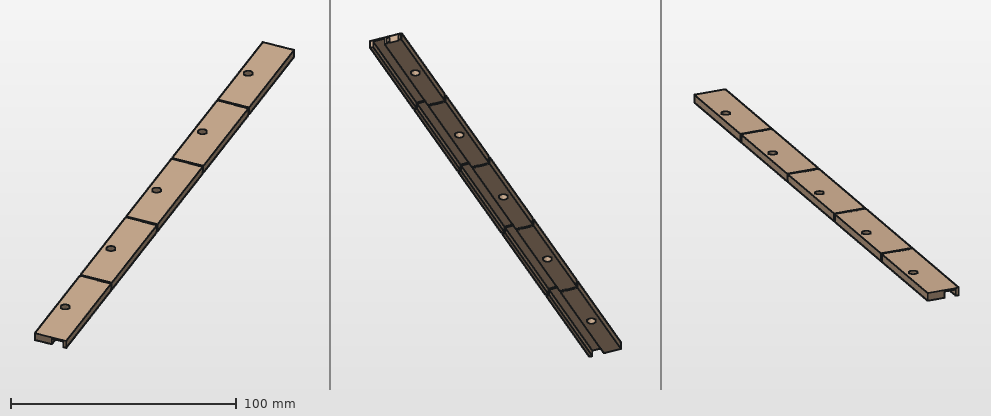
import cadquery as cq

segment_count = 5
row_length = 250.0
tab_length = 0.8
pitch = row_length / segment_count
segment_length = pitch - tab_length

width = 15.2
height = 3.8
plate_thickness = 0.8
block_width = 8.2
leg_width = 1.5
channel_width = width - block_width - leg_width
channel_height = height - plate_thickness

hole_diameter = 4.0
hole_x = 4.0
hole_y = pitch / 2 - tab_length

tab_width = 1.0
tab_height = 2.5
left_tab_x = 0.35
right_tab_x = 5.8


def box_at(size, corner):
    """Box of the given size whose lowest X, Y, Z corner is at the given point."""
    return cq.Workplane("XY").box(*size, centered=False).translate(corner)


def cut_channel(body):
    """Open the underside between the solid block and the narrow leg."""
    channel = box_at((channel_width, segment_length, channel_height), (block_width, 0, 0))
    return body.cut(channel)


def drill_hole(body):
    """Drill the vertical hole through the block."""
    drill = cq.Workplane("XY").center(hole_x, hole_y).circle(hole_diameter / 2).extrude(height)
    return body.cut(drill)


def add_tabs(body):
    """Add the tabs that keep the next segment at a distance."""
    for tab_x in (left_tab_x, right_tab_x):
        body = body.union(box_at((tab_width, tab_length, tab_height), (tab_x, segment_length, 0)))
    return body


def make_segment(start_y):
    """One channel segment whose -Y face lies at start_y."""
    body = box_at((width, segment_length, height), (0, 0, 0))
    body = cut_channel(body)
    body = drill_hole(body)
    body = add_tabs(body)
    return body.translate((0, start_y, 0))


segments = [make_segment(index * pitch) for index in range(segment_count)]
result = cq.Compound.makeCompound([segment.solids().val() for segment in segments])